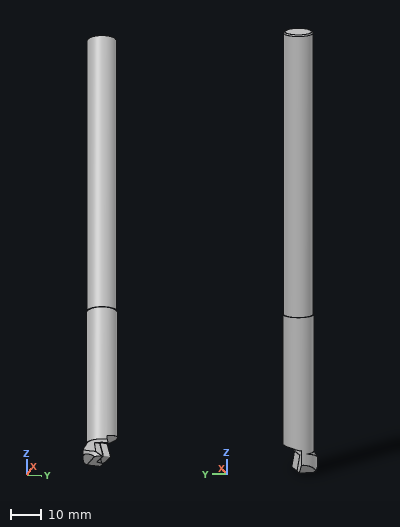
import cadquery as cq
import math

overall_length = 151.2
shank_diameter = 10.0
neck_diameter = 10.5
neck_top = 54.6
shank_chamfer = 0.5
neck_radius = neck_diameter / 2

head_radius = 6.88
head_offset = 1.74
head_bottom = 0.5
flare_top = 7.7
flare_slope = 1.8
side_chamfer_height = 4.1
side_chamfer_width = 3.5
front_chamfer = 2.1

relief_inner_height = 8.9
relief_outer_height = 10.1

rake_y = 0.2
nose_reach = 8.85
nose_radius = 0.3
insert_side = 7.7
insert_thickness = 2.4
insert_point_angle = 55.0
insert_end_angle = 3.0
insert_flank_angle = 7.0
holder_setback = 0.6
cutter_size = 30.2

lead_angle = math.radians(180 - insert_end_angle - insert_point_angle)
end_angle = math.radians(180 - insert_end_angle)


def along(start, angle, distance):
    return (start[0] + distance * math.cos(angle), start[1] + distance * math.sin(angle))


nose_center = (nose_reach - nose_radius, nose_radius)
half_point_angle = math.radians(insert_point_angle / 2)
nose_corner = along(nose_center, (lead_angle + end_angle) / 2, -nose_radius / math.sin(half_point_angle))


def make_insert():
    lead_corner = along(nose_corner, lead_angle, insert_side)
    end_corner = along(nose_corner, end_angle, insert_side)
    far_corner = along(lead_corner, end_angle, insert_side)
    blank = (
        cq.Workplane("XZ", origin=(0, rake_y, 0))
        .polyline([nose_corner, lead_corner, far_corner, end_corner])
        .close()
        .extrude(insert_thickness, taper=insert_flank_angle)
    )
    return blank.edges("not #Y").edges(">X").fillet(nose_radius)


def make_shank():
    shank = (
        cq.Workplane("XY")
        .workplane(offset=neck_top)
        .circle(shank_diameter / 2)
        .extrude(overall_length - neck_top)
    )
    return shank.faces(">Z").chamfer(shank_chamfer)


def make_neck():
    return (
        cq.Workplane("XY")
        .workplane(offset=head_bottom)
        .circle(neck_radius)
        .extrude(neck_top - head_bottom)
    )


def make_head():
    """Eccentric cylinder trimmed on top by a cone around the neck axis."""
    flare_height = flare_top - head_bottom
    cylinder = (
        cq.Workplane("XY")
        .workplane(offset=head_bottom)
        .center(head_offset, 0)
        .circle(head_radius)
        .extrude(flare_height)
    )
    flare = cq.Workplane(cq.Solid.makeCone(
        neck_radius + flare_height / flare_slope,
        neck_radius,
        flare_height,
        pnt=cq.Vector(0, 0, head_bottom),
    ))
    return cylinder.intersect(flare)


def make_rake_relief():
    """Removes everything behind the rake face, up to a sloped shoulder."""
    return (
        cq.Workplane("YZ")
        .moveTo(rake_y, 0)
        .lineTo(rake_y, relief_inner_height)
        .lineTo(neck_radius, relief_outer_height)
        .lineTo(cutter_size, relief_outer_height)
        .lineTo(cutter_size, 0)
        .close()
        .extrude(cutter_size, both=True)
    )


def make_side_chamfer():
    return (
        cq.Workplane("XZ")
        .polyline([
            (-neck_radius, head_bottom),
            (-neck_radius, side_chamfer_height),
            (side_chamfer_width - neck_radius, head_bottom),
        ])
        .close()
        .extrude(cutter_size, both=True)
    )


def make_front_chamfer():
    return (
        cq.Workplane("YZ")
        .polyline([
            (-head_radius, head_bottom),
            (-head_radius, head_bottom + front_chamfer),
            (front_chamfer - head_radius, head_bottom),
        ])
        .close()
        .extrude(cutter_size, both=True)
    )


def make_lead_clearance():
    """Sets the holder back from the lead edge of the insert."""
    base = along(nose_corner, lead_angle - math.pi / 2, -holder_setback)
    lower = along(base, lead_angle, -insert_side)
    upper = along(base, lead_angle, insert_side)
    return (
        cq.Workplane("XZ")
        .polyline([lower, upper, (cutter_size, upper[1]), (cutter_size, lower[1])])
        .close()
        .extrude(cutter_size, both=True)
    )


def make_holder(seated_insert):
    head = make_head().union(make_neck())
    for cutter in (
        make_rake_relief(),
        make_side_chamfer(),
        make_front_chamfer(),
        make_lead_clearance(),
        seated_insert,
    ):
        head = head.cut(cutter)
    return head.union(make_shank())


insert = make_insert()
holder = make_holder(insert)
result = cq.Compound.makeCompound([holder.val(), insert.val()])